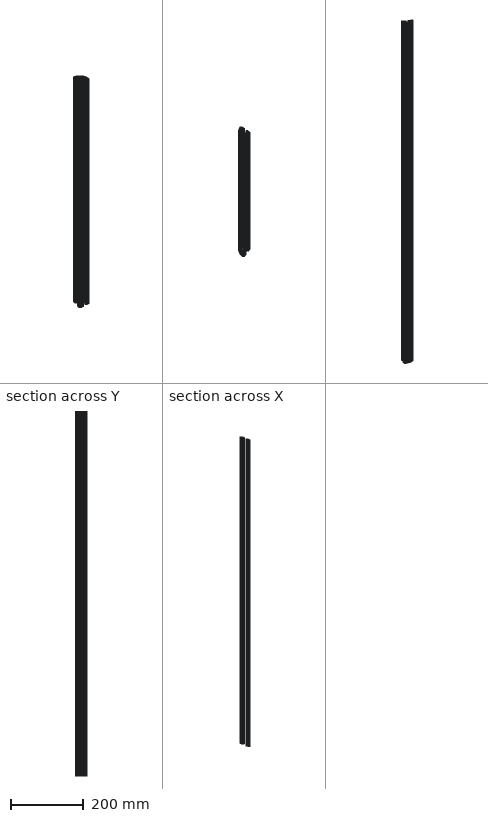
import cadquery as cq
import math

LENGTH = 1000.0
SIZE = 30.0
MIDDLE = SIZE / 2
CORNER_RADIUS = 2.0

OUTER_RADIUS = CORNER_RADIUS + math.hypot(SIZE - CORNER_RADIUS, CORNER_RADIUS)
ROUND_WALL = 1.8
INNER_RADIUS = OUTER_RADIUS - ROUND_WALL

SLOT_HALF_OPENING = 5.1
SLOT_HALF_WIDTH = 7.2
SLOT_HALF_FLOOR = 5.7
LIP_THICKNESS = 2.2
SLOT_TAPER_START = 5.9
SLOT_DEPTH = 8.7
GROOVE_HALF_WIDTH = 2.0
GROOVE_DEPTH = 0.5
CUT_OVERRUN = 1.0

CORE_BORE_RADIUS = 4.7

CORNER_WALL = 2.3
CORNER_CELL_SIDE = 3.2
TIP_CELL_START = 23.6
TIP_CELL_FLOOR = SIZE - CORNER_WALL - CORNER_CELL_SIDE
CELL_END = SIZE - CORNER_WALL
ARCH_CELL_START = 14.6
ARCH_CELL_END = 20.7
ARCH_CELL_FLOOR = 21.6


def mirrored_point(point):
    """Reflect a section point across the symmetry line x + y = SIZE."""
    x, y = point
    return (SIZE - y, SIZE - x)


def with_mirror(solid):
    """Return the solid together with its reflection across the plane x + y = SIZE."""
    reflection = solid.mirror(cq.Vector(1, 1, 0), cq.Vector(MIDDLE, MIDDLE, 0))
    return [solid, reflection]


def point_on_round(radius, angle):
    """Point on an arc about (SIZE, 0), with the angle measured up from the -X direction."""
    return (SIZE - radius * math.cos(angle), radius * math.sin(angle))


def height_of_round(radius, x):
    return math.sqrt(radius**2 - (SIZE - x) ** 2)


def make_body():
    tangent_angle = math.asin(CORNER_RADIUS / (OUTER_RADIUS - CORNER_RADIUS))
    round_start = point_on_round(OUTER_RADIUS, tangent_angle)
    round_middle = point_on_round(OUTER_RADIUS, math.pi / 4)
    tip_half_angle = (math.pi / 2 + tangent_angle) / 2
    tip_middle = (
        CORNER_RADIUS * (1 - math.sin(tip_half_angle)),
        CORNER_RADIUS * (1 - math.cos(tip_half_angle)),
    )
    corner_inset = CORNER_RADIUS * (1 - math.sqrt(0.5))
    return (
        cq.Workplane("XY")
        .moveTo(CORNER_RADIUS, 0)
        .lineTo(SIZE - CORNER_RADIUS, 0)
        .threePointArc((SIZE - corner_inset, corner_inset), (SIZE, CORNER_RADIUS))
        .lineTo(SIZE, SIZE - CORNER_RADIUS)
        .threePointArc(mirrored_point(tip_middle), mirrored_point(round_start))
        .threePointArc(round_middle, round_start)
        .threePointArc(tip_middle, (CORNER_RADIUS, 0))
        .close()
        .extrude(LENGTH)
    )


def make_slot():
    half_profile = [
        (SLOT_HALF_OPENING, -CUT_OVERRUN),
        (SLOT_HALF_OPENING, LIP_THICKNESS),
        (SLOT_HALF_WIDTH, LIP_THICKNESS),
        (SLOT_HALF_WIDTH, SLOT_TAPER_START),
        (SLOT_HALF_FLOOR, SLOT_DEPTH),
        (GROOVE_HALF_WIDTH, SLOT_DEPTH),
        (GROOVE_HALF_WIDTH, SLOT_DEPTH + GROOVE_DEPTH),
    ]
    right_side = [(MIDDLE + offset, y) for offset, y in half_profile]
    left_side = [(MIDDLE - offset, y) for offset, y in reversed(half_profile)]
    return cq.Workplane("XY").polyline(right_side + left_side).close().extrude(LENGTH).val()


def make_cell(start, end, floor):
    """Hollow cell with a flat floor, under a sloping roof that follows the round wall."""
    return (
        cq.Workplane("XY")
        .moveTo(start, floor)
        .lineTo(end, floor)
        .lineTo(end, height_of_round(INNER_RADIUS, end))
        .lineTo(start, height_of_round(INNER_RADIUS, start))
        .close()
        .extrude(LENGTH)
        .val()
    )


def make_corner_cell():
    """Square cell in the corner between the two slots."""
    centre = CORNER_WALL + CORNER_CELL_SIDE / 2
    return (
        cq.Workplane("XY")
        .center(SIZE - centre, centre)
        .rect(CORNER_CELL_SIDE, CORNER_CELL_SIDE)
        .extrude(LENGTH)
        .val()
    )


def make_core_bore():
    return cq.Workplane("XY").center(MIDDLE, MIDDLE).circle(CORE_BORE_RADIUS).extrude(LENGTH).val()


cavities = [make_core_bore(), make_corner_cell()]
cavities += with_mirror(make_slot())
cavities += with_mirror(make_cell(TIP_CELL_START, CELL_END, TIP_CELL_FLOOR))
cavities += with_mirror(make_cell(ARCH_CELL_START, ARCH_CELL_END, ARCH_CELL_FLOOR))

result = make_body()
for cavity in cavities:
    result = result.cut(cavity)